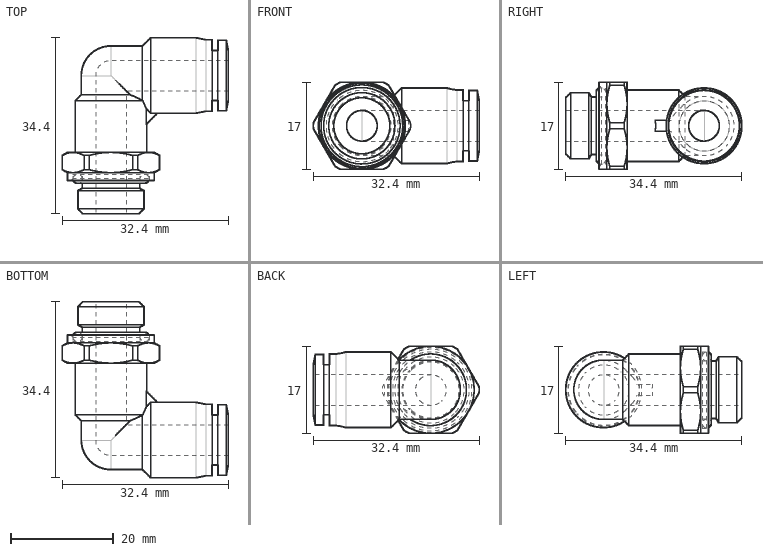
import cadquery as cq
import math


elbow_diameter = 11.6
bore_diameter = 6.0

collar_diameter = 14.0
collar_chamfer_start = 3.75
collar_start = collar_chamfer_start + (collar_diameter - elbow_diameter) / 2
hex_start = 15.0
hex_end = 18.95
flange_end = 20.57
neck_end = 21.98
stud_end = 27.0

hex_sides = 6
across_flats = 17.0
corner_diameter = 19.0
hex_chamfer_angle = 30
flange_diameter = across_flats
flange_edge = 0.17

neck_diameter = 11.3
stud_diameter = 12.95
stud_tip_diameter = 10.95
stud_back_chamfer = 0.48

ring_diameter = 14.93
ring_section = (ring_diameter - neck_diameter) / 2
ring_projection = 0.48
ring_centre = flange_end + ring_projection - ring_section / 2
recess_mouth_diameter = 15.95

socket_diameter = 14.8
socket_chamfer_start = 6.15
socket_start = socket_chamfer_start + (socket_diameter - elbow_diameter) / 2
socket_taper_start = 16.55
socket_taper_end = 18.5
socket_end = 19.75
socket_rim_diameter = 14.0

sleeve_diameter = 9.8
sleeve_head_diameter = 13.8
sleeve_head_start = 20.88
sleeve_bevel_start = 22.53
sleeve_end = 22.9

web_thickness = 2.05
web_intercept = 16.45


def turned_along_stud(profile):
    """Revolve (radius, distance) points about the stud axis, distance running towards -Y."""
    points = [(radius, -distance) for radius, distance in profile]
    return cq.Workplane("XY").polyline(points).close().revolve(360, (0, 0, 0), (0, 1, 0))


def turned_along_socket(profile):
    """Revolve (distance, radius) points about the socket axis."""
    return cq.Workplane("XY").polyline(profile).close().revolve(360, (0, 0, 0), (1, 0, 0))


def make_hexagon():
    """Hexagon with its corners turned off and both ends chamfered."""
    height = hex_end - hex_start
    corner_radius = corner_diameter / 2
    face_radius = across_flats / 2
    chamfer_depth = (corner_radius - face_radius) * math.tan(math.radians(hex_chamfer_angle))
    full_diameter = across_flats / math.cos(math.pi / hex_sides)
    prism = (
        cq.Workplane("XZ", origin=(0, -hex_start, 0))
        .polygon(hex_sides, full_diameter)
        .extrude(height)
    )
    envelope = turned_along_stud([
        (0, hex_start),
        (face_radius, hex_start),
        (corner_radius, hex_start + chamfer_depth),
        (corner_radius, hex_end - chamfer_depth),
        (face_radius, hex_end),
        (0, hex_end),
    ])
    return prism.intersect(envelope)


def make_stud_side():
    """Round shape from the elbow centre through the collar and flange to the stud tip."""
    tip_chamfer = (stud_diameter - stud_tip_diameter) / 2
    return turned_along_stud([
        (0, 0),
        (elbow_diameter / 2, 0),
        (elbow_diameter / 2, collar_chamfer_start),
        (collar_diameter / 2, collar_start),
        (collar_diameter / 2, hex_end),
        (flange_diameter / 2, hex_end),
        (flange_diameter / 2, flange_end - flange_edge),
        (flange_diameter / 2 - flange_edge, flange_end),
        (neck_diameter / 2, flange_end),
        (neck_diameter / 2, neck_end),
        (stud_diameter / 2, neck_end + stud_back_chamfer),
        (stud_diameter / 2, stud_end - tip_chamfer),
        (stud_tip_diameter / 2, stud_end),
        (0, stud_end),
    ])


def make_socket_side():
    """Round shape from the elbow centre through the tube socket to the release sleeve."""
    return turned_along_socket([
        (0, 0),
        (0, elbow_diameter / 2),
        (socket_chamfer_start, elbow_diameter / 2),
        (socket_start, socket_diameter / 2),
        (socket_taper_start, socket_diameter / 2),
        (socket_taper_end, socket_rim_diameter / 2),
        (socket_end, socket_rim_diameter / 2),
        (socket_end, sleeve_diameter / 2),
        (sleeve_head_start, sleeve_diameter / 2),
        (sleeve_head_start, sleeve_head_diameter / 2),
        (sleeve_bevel_start, sleeve_head_diameter / 2),
        (sleeve_end, sleeve_diameter / 2),
        (sleeve_end, 0),
    ])


def make_web():
    """Flat triangular web joining the collar to the socket."""
    corner = (collar_diameter / 2 + bore_diameter / 2) / 2
    outline = [
        (corner, -corner),
        (web_intercept - corner, -corner),
        (corner, corner - web_intercept),
    ]
    return cq.Workplane("XY").polyline(outline).close().extrude(web_thickness / 2, both=True)


def make_bore():
    """Passage from the stud tip round a spherical corner and out through the sleeve."""
    radius = bore_diameter / 2
    stud_bore = cq.Workplane("XZ").circle(radius).extrude(stud_end)
    socket_bore = cq.Workplane("YZ").circle(radius).extrude(sleeve_end)
    return stud_bore.union(socket_bore).union(cq.Workplane("XY").sphere(radius))


def make_ring_recess():
    """Annular recess in the flange face, with a 45 degree mouth, that holds the sealing ring."""
    floor = ring_centre - ring_section / 2
    mouth_depth = (recess_mouth_diameter - ring_diameter) / 2
    return turned_along_stud([
        (neck_diameter / 2, floor),
        (ring_diameter / 2, floor),
        (ring_diameter / 2, flange_end - mouth_depth),
        (recess_mouth_diameter / 2, flange_end),
        (neck_diameter / 2, flange_end),
    ])


def make_fitting():
    """Elbow fitting with hexagon, threaded stud and tube socket."""
    corner = cq.Workplane("XY").sphere(elbow_diameter / 2)
    outside = (
        make_stud_side()
        .union(make_socket_side())
        .union(corner)
        .union(make_hexagon())
        .union(make_web())
    )
    return outside.cut(make_bore()).cut(make_ring_recess())


def make_sealing_ring():
    """O-ring seated round the neck of the stud."""
    centre_radius = (neck_diameter + ring_section) / 2
    return (
        cq.Workplane("XY")
        .center(centre_radius, -ring_centre)
        .circle(ring_section / 2)
        .revolve(360, (-centre_radius, 0, 0), (-centre_radius, 1, 0))
    )


fitting = make_fitting()
sealing_ring = make_sealing_ring()

result = cq.Compound.makeCompound([fitting.solids().val(), sealing_ring.val()])